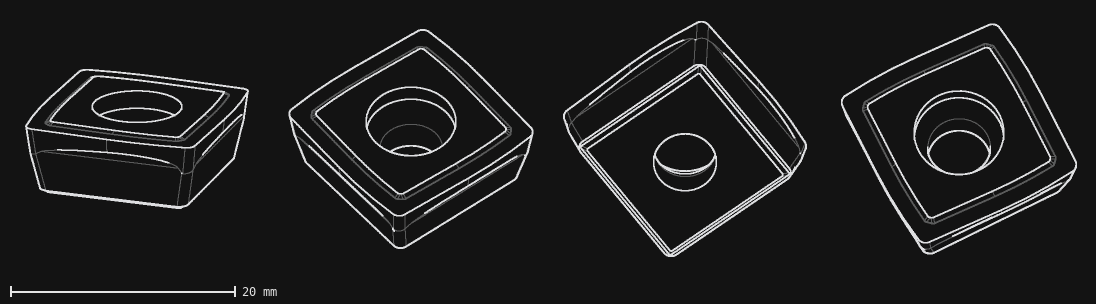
import cadquery as cq
import math

HALF_WIDTH = 8.25
HEIGHT = 6.7
SIDES = 4
SIDE_TURN = 360 / SIDES
TOLERANCE = 1e-3

RIM_Z = 6.5
BOW_RADIUS = 44.6
BOW_OFFSET = 0.27
UPPER_DRAFT = 7.0
CORNER_RADIUS = 0.8

SEAT_Z = 0.4
SEAT_HALF = 6.975
LOWER_DRAFT = 11.0
LOWER_TURN = 2.2
FLARE_Z = 4.42
FLARE_RADIUS = 2.0
FLARE_ANGLE = 45.0

PAD_FOOT_HALF = 6.8
PAD_BEVEL_WIDTH = 0.45
PAD_FOOT_CORNER_CUT = 0.5
PAD_TOP_CORNER_CUT = 0.23
PAD_FOOT_RADIUS = 0.15
PAD_CORNER_RADIUS = 0.8

BASE_HALF = 6.69
BASE_BEVEL = 45.0
BASE_CORNER_RADIUS = 0.25

HOLE_RADIUS = 2.8
HEAD_RADIUS = 4.0
HEAD_DEPTH = 1.66
THROAT_DEPTH = 3.68


def bowed_outline(half, z, corner_cut=0.0):
    """Four-sided outline at height z, parallel to the rim outline.

    Corners are sharp, or cut off across the length corner_cut along each side.
    """
    radius = BOW_RADIUS - (HALF_WIDTH - half)

    def bow(x):
        return half - radius + math.sqrt(radius**2 - (x + BOW_OFFSET) ** 2)

    bow_start = corner_cut - half
    straight_end = bow(-half) - corner_cut
    side_points = [
        cq.Vector(bow_start, bow(bow_start), z),
        cq.Vector(bow_start / 2, bow(bow_start / 2), z),
        cq.Vector(-BOW_OFFSET, half, z),
        cq.Vector(straight_end, half, z),
    ]
    next_start = cq.Vector(bow(bow_start), -bow_start, z)

    edges = [
        cq.Edge.makeThreePointArc(*side_points[:3]),
        cq.Edge.makeLine(*side_points[2:]),
    ]
    if corner_cut > 0:
        edges.append(cq.Edge.makeLine(side_points[3], next_start))
    return cq.Wire.assembleEdges(
        [
            edge.rotate(cq.Vector(0, 0, 0), cq.Vector(0, 0, 1), -SIDE_TURN * side)
            for side in range(SIDES)
            for edge in edges
        ]
    )


def is_corner_edge(edge):
    """True for an edge that climbs a corner, away from the middle of every side."""
    center = edge.Center()
    climbs = edge.BoundingBox().zlen > TOLERANCE
    return climbs and min(abs(center.x), abs(center.y)) > HALF_WIDTH / 2


def make_upper_body():
    inset = (RIM_Z - SEAT_Z) * math.tan(math.radians(UPPER_DRAFT))
    low = bowed_outline(HALF_WIDTH - inset, SEAT_Z)
    high = bowed_outline(HALF_WIDTH, RIM_Z)
    body = cq.Workplane(cq.Solid.makeLoft([low, high], True))
    return body.edges().filter(is_corner_edge).fillet(CORNER_RADIUS)


def make_flare():
    """Strip along the -Y side, curving outward from the frustum side."""
    draft = math.radians(LOWER_DRAFT)
    start_y = SEAT_HALF + (FLARE_Z - SEAT_Z) * math.tan(draft)
    center_y = start_y + FLARE_RADIUS * math.cos(draft)
    center_z = FLARE_Z - FLARE_RADIUS * math.sin(draft)

    def on_arc(degrees):
        angle = draft + math.radians(degrees)
        y = center_y - FLARE_RADIUS * math.cos(angle)
        return (-y, center_z + FLARE_RADIUS * math.sin(angle))

    length = 2 * start_y
    root_y = -start_y / 2
    top = on_arc(FLARE_ANGLE)
    return (
        cq.Workplane("YZ", origin=(-length / 2, 0, 0))
        .moveTo(*on_arc(0))
        .threePointArc(on_arc(FLARE_ANGLE / 2), top)
        .lineTo(top[0], RIM_Z)
        .lineTo(root_y, RIM_Z)
        .lineTo(root_y, FLARE_Z)
        .close()
        .extrude(length)
    )


def square(half, z):
    return cq.Workplane("XY", origin=(0, 0, z)).rect(2 * half, 2 * half).wires().val()


def make_lower_body():
    spread = (RIM_Z - SEAT_Z) * math.tan(math.radians(LOWER_DRAFT))
    low = square(SEAT_HALF, SEAT_Z)
    high = square(SEAT_HALF + spread, RIM_Z)
    body = cq.Workplane(cq.Solid.makeLoft([low, high], True))
    body = body.edges().filter(is_corner_edge).fillet(CORNER_RADIUS)
    flare = make_flare()
    for side in range(SIDES):
        body = body.union(flare.rotate((0, 0, 0), (0, 0, 1), SIDE_TURN * side))
    return body.rotate((0, 0, 0), (0, 0, 1), LOWER_TURN)


def make_pad():
    low = bowed_outline(PAD_FOOT_HALF, RIM_Z, PAD_FOOT_CORNER_CUT)
    high = bowed_outline(PAD_FOOT_HALF - PAD_BEVEL_WIDTH, HEIGHT, PAD_TOP_CORNER_CUT)
    pad = cq.Workplane(cq.Solid.makeLoft([low, high], True))
    return pad.edges().filter(is_corner_edge).fillet(PAD_CORNER_RADIUS)


def make_base():
    return (
        cq.Workplane("XY", origin=(0, 0, SEAT_Z))
        .rect(2 * BASE_HALF, 2 * BASE_HALF)
        .extrude(-SEAT_Z, taper=BASE_BEVEL)
        .edges()
        .filter(is_corner_edge)
        .fillet(BASE_CORNER_RADIUS)
        .rotate((0, 0, 0), (0, 0, 1), LOWER_TURN)
    )


def make_hole():
    head_z = HEIGHT - HEAD_DEPTH
    throat_z = HEIGHT - THROAT_DEPTH
    rise = head_z - throat_z
    spread = HEAD_RADIUS - HOLE_RADIUS
    seat_radius = (spread**2 + rise**2) / (2 * spread)
    middle = math.asin(rise / seat_radius) / 2
    seat_middle = (
        HOLE_RADIUS + seat_radius * (1 - math.cos(middle)),
        throat_z + seat_radius * math.sin(middle),
    )
    return (
        cq.Workplane("XZ")
        .moveTo(0, 0)
        .lineTo(HOLE_RADIUS, 0)
        .lineTo(HOLE_RADIUS, throat_z)
        .threePointArc(seat_middle, (HEAD_RADIUS, head_z))
        .lineTo(HEAD_RADIUS, HEIGHT)
        .lineTo(0, HEIGHT)
        .close()
        .revolve(360, (0, 0, 0), (0, 1, 0))
    )


def is_pad_foot(edge):
    """True for an edge where the pad's bevels stand on the rim."""
    box = edge.BoundingBox()
    on_rim = max(abs(box.zmin - RIM_Z), abs(box.zmax - RIM_Z)) < TOLERANCE
    reach = max(abs(edge.Center().x), abs(edge.Center().y))
    return on_rim and reach < PAD_FOOT_HALF + TOLERANCE


body = make_upper_body().intersect(make_lower_body()).union(make_pad())
body = body.edges().filter(is_pad_foot).fillet(PAD_FOOT_RADIUS)
result = body.union(make_base()).cut(make_hole())